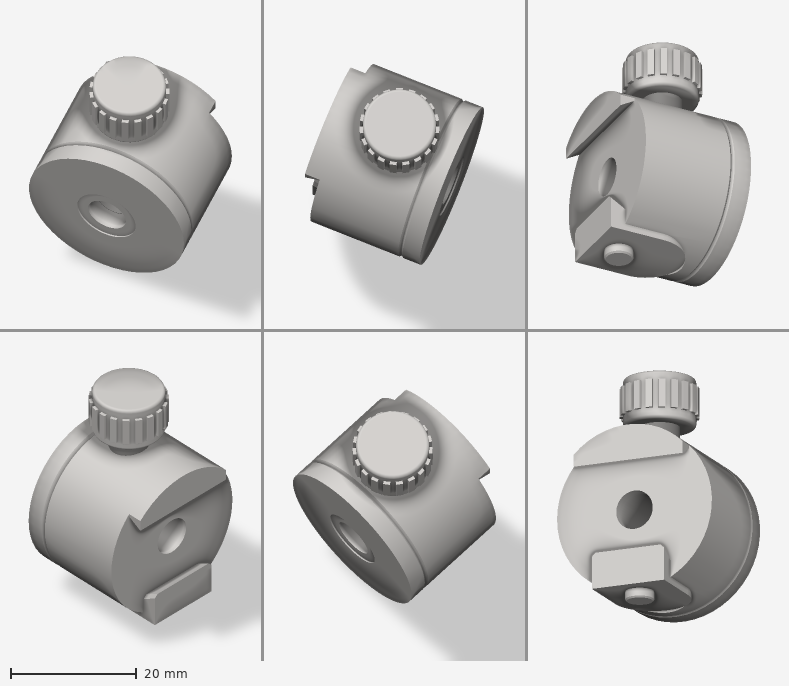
import cadquery as cq
import math

body_diameter = 26.98
body_radius = body_diameter / 2
body_length = 21.34
overall_height = 38.8

flange_thickness = 2.92
groove_depth = 0.38
groove_root_y = flange_thickness + groove_depth
groove_back_y = groove_root_y + groove_depth

recess_diameter = 10.16
recess_depth = 0.25
front_bore_diameter = 6.53
rear_bore_diameter = 6.35

dovetail_depth = 2.54
dovetail_angle = 30
dovetail_floor_y = body_length - dovetail_depth
dovetail_rise = dovetail_depth * math.tan(math.radians(dovetail_angle))
upper_jaw_lip_z = 7.6
lower_jaw_lip_z = -7.15
upper_jaw_width = 19.05

clamp_width = 12.6
clamp_radius = clamp_width / 2
clamp_bottom_z = -13.08
clamp_top_z = -9.5
clamp_end_y = 5.65
clamp_arc_y = clamp_end_y + clamp_radius
jaw_edge_chamfer = 0.6

screw_diameter = 4.65
screw_y = 16.76
screw_bottom_z = -14.63
screw_chamfer = 0.25

knob_y = 9.0
knob_diameter = 11.68
knob_radius = knob_diameter / 2
knob_height = 7.9
knob_top_z = screw_bottom_z + overall_height
knob_bottom_z = knob_top_z - knob_height
knob_fillet = 0.51
stem_diameter = 6.53
stem_bottom_z = 10.0

rib_count = 19
rib_width = 1.1
rib_top_setback = 1.57
rib_embed = 0.5
rib_height = 4.66
first_rib_angle = -1.2
rib_outer_radius = 6.37
rib_inner_radius = knob_radius - rib_embed
rib_top_z = knob_top_z - rib_top_setback
rib_bottom_z = rib_top_z - rib_height


def y_cylinder(diameter, start_y, end_y):
    """Cylinder on the Y axis between two Y positions."""
    return cq.Workplane("XZ", origin=(0, start_y, 0)).circle(diameter / 2).extrude(start_y - end_y)


def box_between(x_limits, y_limits, z_limits):
    """Axis-aligned box from its limits along each axis."""
    lower, upper = zip(x_limits, y_limits, z_limits)
    size = [high - low for low, high in zip(lower, upper)]
    return cq.Workplane("XY").box(*size, centered=False).translate(lower)


def make_body():
    """Cylinder with the V groove, turned around the Y axis."""
    profile = [
        (0, 0),
        (body_radius, 0),
        (body_radius, flange_thickness),
        (body_radius - groove_depth, groove_root_y),
        (body_radius, groove_back_y),
        (body_radius, body_length),
        (0, body_length),
    ]
    return cq.Workplane("XY").polyline(profile).close().revolve(360, (0, 0), (0, 1))


def make_dovetail_cutter():
    """Everything behind the dovetail floor except the upper jaw."""
    below_jaw = [
        (dovetail_floor_y, -body_diameter),
        (dovetail_floor_y, upper_jaw_lip_z + dovetail_rise),
        (body_length, upper_jaw_lip_z),
        (body_length, -body_diameter),
    ]
    cutter = cq.Workplane("YZ").polyline(below_jaw).close().extrude(body_radius, both=True)
    for x_limits in (
        (-body_diameter, -upper_jaw_width / 2),
        (upper_jaw_width / 2, body_diameter),
    ):
        side = box_between(x_limits, (dovetail_floor_y, body_length), (-body_diameter, body_diameter))
        cutter = cutter.union(side)
    return cutter


def make_clamp_prism(bottom_z, top_z):
    """Block with a round front end, reaching back to the rear face."""
    return (
        cq.Workplane("XY", origin=(0, 0, bottom_z))
        .moveTo(-clamp_radius, body_length)
        .lineTo(-clamp_radius, clamp_arc_y)
        .threePointArc((0, clamp_end_y), (clamp_radius, clamp_arc_y))
        .lineTo(clamp_radius, body_length)
        .close()
        .extrude(top_z - bottom_z)
    )


def make_lower_jaw():
    """Sloped jaw at the rear of the clamp block, with chamfered side edges."""
    profile = [
        (dovetail_floor_y, clamp_bottom_z),
        (dovetail_floor_y, lower_jaw_lip_z - dovetail_rise),
        (body_length, lower_jaw_lip_z),
        (body_length, clamp_bottom_z),
    ]
    jaw = cq.Workplane("YZ").polyline(profile).close().extrude(clamp_radius, both=True)
    for side in (-1, 1):
        edge_x = side * clamp_radius
        corner = [
            (edge_x, lower_jaw_lip_z - jaw_edge_chamfer),
            (edge_x, lower_jaw_lip_z),
            (edge_x - side * jaw_edge_chamfer, lower_jaw_lip_z),
        ]
        path = (
            cq.Workplane("YZ")
            .moveTo(body_length, lower_jaw_lip_z)
            .lineTo(dovetail_floor_y, lower_jaw_lip_z - dovetail_rise)
        )
        cutter = (
            cq.Workplane("XZ", origin=(0, body_length, 0)).polyline(corner).close().sweep(path)
        )
        jaw = jaw.cut(cutter)
    return jaw


def make_screw():
    """Screw end standing out below the clamp block."""
    return (
        cq.Workplane("XY", origin=(0, screw_y, screw_bottom_z))
        .circle(screw_diameter / 2)
        .extrude(clamp_top_z - screw_bottom_z)
        .faces("<Z")
        .chamfer(screw_chamfer)
    )


def make_knob():
    """Ribbed thumb knob on its stem."""
    knob = (
        cq.Workplane("XY", origin=(0, knob_y, knob_bottom_z))
        .circle(knob_radius)
        .extrude(knob_height)
        .edges()
        .fillet(knob_fillet)
    )
    stem = (
        cq.Workplane("XY", origin=(0, knob_y, stem_bottom_z))
        .circle(stem_diameter / 2)
        .extrude(knob_bottom_z - stem_bottom_z)
    )
    knob = knob.union(stem)
    rib = box_between(
        (-rib_width / 2, rib_width / 2),
        (knob_y - rib_outer_radius, knob_y - rib_inner_radius),
        (rib_bottom_z, rib_top_z),
    )
    for index in range(rib_count):
        angle = first_rib_angle + index * 360 / rib_count
        knob = knob.union(rib.rotate((0, knob_y, 0), (0, knob_y, 1), angle))
    return knob


def make_bore():
    """Stepped through bore with a shallow recess at the front face."""
    recess = y_cylinder(recess_diameter, 0, recess_depth)
    front_bore = y_cylinder(front_bore_diameter, 0, groove_root_y)
    rear_bore = y_cylinder(rear_bore_diameter, 0, body_length)
    return recess.union(front_bore).union(rear_bore)


body = make_body().cut(make_dovetail_cutter())
body = body.cut(make_clamp_prism(-body_diameter, clamp_top_z))
clamp_block = make_clamp_prism(clamp_bottom_z, clamp_top_z).union(make_lower_jaw())
clamp_block = clamp_block.union(make_screw())

result = body.union(clamp_block).union(make_knob()).cut(make_bore())